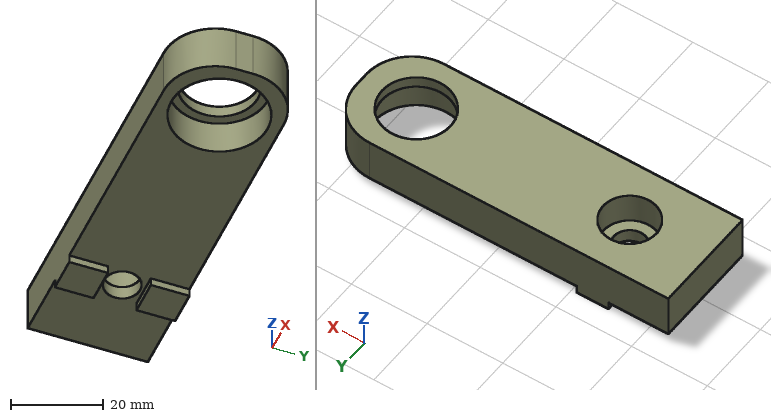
import cadquery as cq

length = 91.0
width = 28.0
total_height = 13.5
key_height = 2.0
plate_height = total_height - key_height
corner_radius = 12.0

screw_x = 20.0
screw_diameter = 8.4
head_diameter = 14.0
head_depth = 8.0

bore_x = 76.4
lip_diameter = 18.0
lip_thickness = 3.0
seat_diameter = 22.5

key_length = 8.4
key_gap = 10.0
key_width = (width - key_gap) / 2


def make_plate():
    """Plate with its underside at Z = 0 and the two +X corners rounded."""
    plate = cq.Workplane("XY").box(length, width, plate_height, centered=(False, True, False))
    return plate.edges("|Z and >X").fillet(corner_radius)


def make_key(side):
    """Key flush with the plate's long side; side is -1 or +1 along Y."""
    key_y = side * (width - key_width) / 2
    key = cq.Workplane("XY").box(key_length, key_width, key_height, centered=(True, True, False))
    return key.translate((screw_x, key_y, -key_height))


def cut_screw_hole(body):
    """Through hole with its counterbore open to the top face."""
    top = body.faces(">Z").workplane(origin=(screw_x, 0, plate_height))
    return top.cboreHole(screw_diameter, head_diameter, head_depth, depth=plate_height)


def cut_stepped_bore(body):
    """Bore narrowed by a lip at the top, with a wider seat open to the underside."""
    lip_bore = cq.Workplane("XY").center(bore_x, 0).circle(lip_diameter / 2).extrude(plate_height)
    seat = cq.Workplane("XY").center(bore_x, 0).circle(seat_diameter / 2).extrude(plate_height - lip_thickness)
    return body.cut(lip_bore).cut(seat)


body = make_plate()
for side in (-1, 1):
    body = body.union(make_key(side))
body = cut_screw_hole(body)
result = cut_stepped_bore(body)